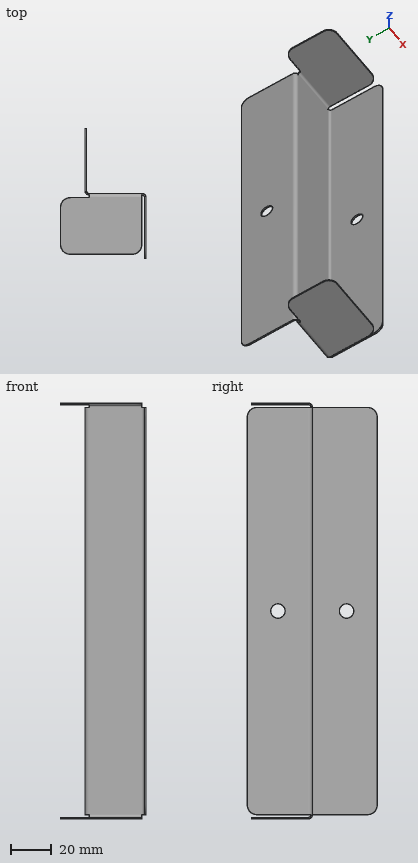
import cadquery as cq
import math

total_width = 42.0
total_depth = 63.9
total_height = 204.0

sheet = 0.8
bend_inside = 1.2
bend_outside = bend_inside + sheet

body_width = 30.0
rear_flange_length = 32.6
left_face = total_width - body_width
right_face = total_width
rear_edge = rear_flange_length
front_edge = rear_edge - total_depth
body_bottom = bend_outside
body_top = total_height - bend_outside

tab_length = 30.0
tab_width = 40.0
tab_front = sheet - tab_length

corner_radius = 4.9
hole_diameter = 7.0
hole_edge_distance = 15.0

ARC_MIDDLE = math.sqrt(0.5)
middle_height = total_height / 2


def arc_point(center, radius, x_sign, y_sign):
    """Middle of a quarter arc in the quadrant given by the two signs."""
    offset = radius * ARC_MIDDLE
    return (center[0] + x_sign * offset, center[1] + y_sign * offset)


def make_body():
    """Bent Z section, extruded over the height of the web."""
    left_bend = (left_face + bend_outside, bend_outside)
    right_bend = (right_face - bend_outside, -bend_inside)
    section = (
        cq.Workplane("XY", origin=(0, 0, body_bottom))
        .moveTo(left_face, rear_edge)
        .lineTo(left_face, left_bend[1])
        .threePointArc(arc_point(left_bend, bend_outside, -1, -1), (left_bend[0], 0))
        .lineTo(right_bend[0], 0)
        .threePointArc(arc_point(right_bend, bend_inside, 1, 1), (right_face - sheet, right_bend[1]))
        .lineTo(right_face - sheet, front_edge)
        .lineTo(right_face, front_edge)
        .lineTo(right_face, right_bend[1])
        .threePointArc(arc_point(right_bend, bend_outside, 1, 1), (right_bend[0], sheet))
        .lineTo(left_bend[0], sheet)
        .threePointArc(arc_point(left_bend, bend_inside, -1, -1), (left_face + sheet, left_bend[1]))
        .lineTo(left_face + sheet, rear_edge)
        .close()
    )
    return section.extrude(body_top - body_bottom)


def round_flange_corners(body):
    """Round the two free corners of each flange."""
    return body.faces("<Y or >Y").edges("|X").fillet(corner_radius)


def drill_flanges(body):
    """One hole through each flange, halfway up."""
    hole_places = [
        (rear_edge - hole_edge_distance, middle_height),
        (front_edge + hole_edge_distance, middle_height),
    ]
    holes = cq.Workplane("YZ").pushPoints(hole_places).circle(hole_diameter / 2).extrude(total_width)
    return body.cut(holes)


def make_top_tab():
    """Quarter bend rising from the web, with a rounded plate in front of it."""
    bend_left = left_face + bend_outside
    bend_right = right_face - bend_outside
    bend_center = (-bend_inside, body_top)
    bend = (
        cq.Workplane("YZ", origin=(bend_left, 0, 0))
        .moveTo(0, body_top)
        .lineTo(sheet, body_top)
        .threePointArc(arc_point(bend_center, bend_outside, 1, 1), (-bend_inside, total_height))
        .lineTo(-bend_inside, total_height - sheet)
        .threePointArc(arc_point(bend_center, bend_inside, 1, 1), (0, body_top))
        .close()
        .extrude(bend_right - bend_left)
    )
    plate = (
        cq.Workplane("XY", origin=(0, tab_front, total_height - sheet))
        .rect(tab_width, -bend_inside - tab_front, centered=False)
        .extrude(sheet)
        .edges("|Z and (<X or <Y)")
        .fillet(corner_radius)
    )
    return plate.union(bend)


top_tab = make_top_tab()
bottom_tab = top_tab.mirror("XY", (0, 0, middle_height))
body = drill_flanges(round_flange_corners(make_body()))
result = body.union(top_tab).union(bottom_tab)